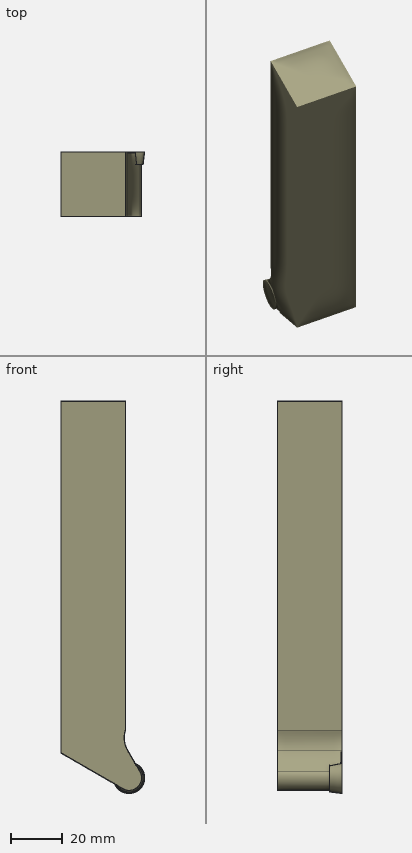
import cadquery as cq
import math

TOTAL_HEIGHT = 151.4
OVERALL_WIDTH = 32.4
SHANK_SIDE = 25.0

INSERT_RADIUS = 6.0
INSERT_THICKNESS = 4.8
CLEARANCE_ANGLE = 7.0
INSERT_BASE_RADIUS = INSERT_RADIUS - INSERT_THICKNESS * math.tan(math.radians(CLEARANCE_ANGLE))

NOSE_X = OVERALL_WIDTH - INSERT_RADIUS
NOSE_Z = INSERT_RADIUS
NOSE_RADIUS = 4.8

STEP_DEPTH = 0.5
STEP_DISTANCE = 7.3

LOWER_FLANK_ANGLE = 30.0
UPPER_FLANK_ANGLE = 60.0

NECK_RADIUS = 9.5
NECK_UNDERCUT = 0.5


def polar(center, radius, angle):
    """Point at an angle in degrees on a circle in the XZ plane."""
    turn = math.radians(angle)
    return (center[0] + radius * math.cos(turn), center[1] + radius * math.sin(turn))


def make_insert():
    """Conical disc, narrowing away from the +Y side."""
    return cq.Workplane(
        cq.Solid.makeCone(
            INSERT_RADIUS,
            INSERT_BASE_RADIUS,
            INSERT_THICKNESS,
            pnt=cq.Vector(NOSE_X, SHANK_SIDE, NOSE_Z),
            dir=cq.Vector(0, -1, 0),
        )
    )


def make_step_cutter():
    """Block over the nose; its edge crosses the nose bisector at the step distance."""
    bisector_tilt = (LOWER_FLANK_ANGLE + UPPER_FLANK_ANGLE) / 2
    length = STEP_DISTANCE + INSERT_RADIUS
    return (
        cq.Workplane("XY")
        .box(length, STEP_DEPTH, SHANK_SIDE)
        .translate((length / 2 - STEP_DISTANCE, SHANK_SIDE - STEP_DEPTH / 2, 0))
        .rotate((0, 0, 0), (0, 1, 0), bisector_tilt)
        .translate((NOSE_X, 0, NOSE_Z))
    )


def make_holder(insert):
    """Square shank with an angled, rounded nose and a seat for the insert."""
    nose = (NOSE_X, NOSE_Z)
    lower_normal = -90.0 - LOWER_FLANK_ANGLE
    upper_normal = 90.0 - UPPER_FLANK_ANGLE
    nose_start = polar(nose, NOSE_RADIUS, lower_normal)
    nose_middle = polar(nose, NOSE_RADIUS, (lower_normal + upper_normal) / 2)
    nose_end = polar(nose, NOSE_RADIUS, upper_normal)

    heel = (0, nose_start[1] + nose_start[0] * math.tan(math.radians(LOWER_FLANK_ANGLE)))

    neck_x = SHANK_SIDE - NECK_UNDERCUT + NECK_RADIUS
    offset_point = polar(nose, NOSE_RADIUS + NECK_RADIUS, upper_normal)
    rise = (offset_point[0] - neck_x) * math.tan(math.radians(UPPER_FLANK_ANGLE))
    neck = (neck_x, offset_point[1] + rise)
    neck_start = polar(neck, NECK_RADIUS, 180.0 + upper_normal)
    neck_middle = polar(neck, NECK_RADIUS, 180.0)
    shank_reach = neck_x - SHANK_SIDE
    neck_end = (SHANK_SIDE, neck[1] + math.sqrt(NECK_RADIUS**2 - shank_reach**2))

    blank = (
        cq.Workplane("XZ")
        .moveTo(0, TOTAL_HEIGHT)
        .lineTo(*heel)
        .lineTo(*nose_start)
        .threePointArc(nose_middle, nose_end)
        .lineTo(*neck_start)
        .threePointArc(neck_middle, neck_end)
        .lineTo(SHANK_SIDE, TOTAL_HEIGHT)
        .close()
        .extrude(-SHANK_SIDE)
    )
    return blank.cut(make_step_cutter()).cut(insert)


insert = make_insert()
holder = make_holder(insert)

result = cq.Compound.makeCompound([holder.val(), insert.val()])